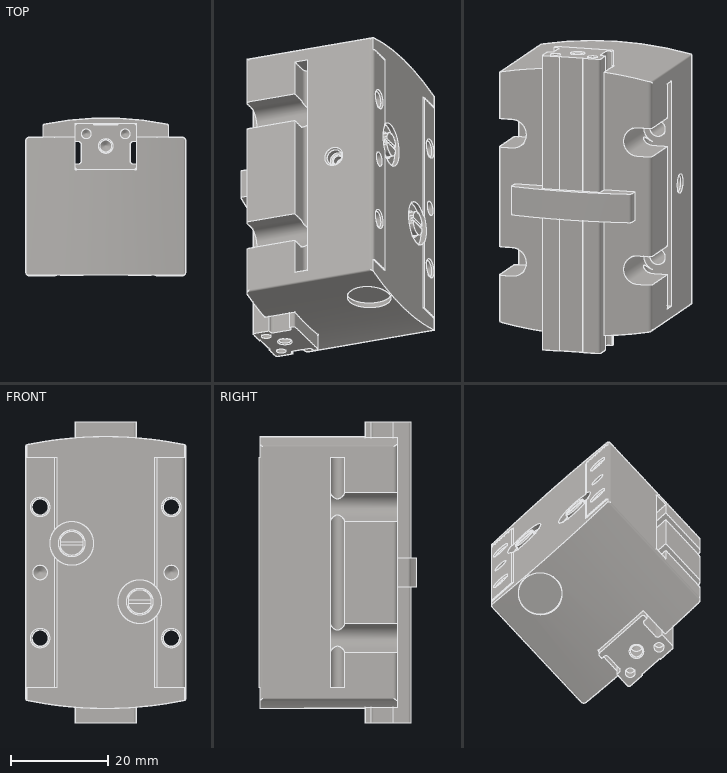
import cadquery as cq
import math


DIR_X = cq.Vector(1, 0, 0)
DIR_Y = cq.Vector(0, 1, 0)
DIR_Z = cq.Vector(0, 0, 1)

housing_width = 33.0
housing_height = 56.0
housing_back_y = 28.6
end_radius = 80.0
long_edge_fillet = 0.85
end_edge_fillet = 0.5
half_width = housing_width / 2
half_height = housing_height / 2
end_drop = end_radius - math.sqrt(end_radius**2 - half_width**2)

pad_thickness = 0.2
pad_length = 47.4
pad_inner_x = 10.5
pad_slope_run = 0.45

mount_x = 13.5
mount_z = 13.5
thread_core_diameter = 3.3
thread_mouth_diameter = 4.0
dowel_diameter = 3.0
dowel_depth = 4.0
drill_point_angle = 118.0

notch_width = 6.0
notch_start_y = 14.8
side_slot_width = 2.8
side_slot_depth = 5.5

screw_x = 7.0
screw_z = 6.0
recess_diameter = 9.0
recess_floor_y = 1.2
bottom_recess_x = -7.0
bottom_recess_y = 5.0
bottom_recess_depth = 1.1

screw_diameter = 5.5
screw_end_y = 7.0
head_top_y = 0.05
head_diameter = 4.9
head_step_y = 1.7
head_flat_width = 4.6
head_flat_end_y = 2.0
driver_slot_width = 0.65
driver_slot_depth = 0.5

port_y = 8.9
port_z = 0.9
port_mouth_diameter = 4.0
port_bore_diameter = 3.24
port_bore_depth = 2.0
port_drill_mouth_diameter = 2.4
port_drill_diameter = 2.0
port_drill_depth = 2.0

jaw_width = 12.6
jaw_front_y = 21.9
jaw_back_y = 31.35
jaw_tip_z = 31.0
jaw_edge_fillet = 0.5
jaw_slot_front_y = 23.05
jaw_slot_back_y = 27.65
jaw_slot_depth = 1.25
jaw_slot_fillet = 0.6
jaw_screw_hole_y = 26.75
jaw_screw_core_diameter = 2.46
jaw_screw_mouth_diameter = 3.0
jaw_screw_depth = 5.0
jaw_pin_x = 4.0
jaw_pin_y = 29.25
jaw_pin_diameter = 2.0
jaw_pin_depth = 4.0
jaw_back_relief_width = 5.0
jaw_back_relief_depth = 0.2

bridge_width = 25.9
bridge_height = 6.0
bridge_crest_y = 32.55
bridge_shoulder_y = 31.2
bridge_corner_fillet = 0.5


def box(x_range, y_range, z_range):
    """Axis-aligned block between the given limits."""
    size = [high - low for low, high in (x_range, y_range, z_range)]
    corner = (x_range[0], y_range[0], z_range[0])
    return cq.Workplane("XY").box(*size, centered=False).translate(corner)


def cylinder(diameter, start, direction, length):
    """Cylinder that starts at a point and runs along a direction."""
    return cq.Workplane(cq.Solid.makeCylinder(diameter / 2, length, start, direction))


def drilled_hole(diameter, start, direction, depth):
    """Blind hole volume with a conical drill point at its end."""
    radius = diameter / 2
    point_length = radius / math.tan(math.radians(drill_point_angle / 2))
    point = cq.Solid.makeCone(radius, 0, point_length, start + direction * depth, direction)
    return cylinder(diameter, start, direction, depth).union(cq.Workplane(point))


def countersink(mouth_diameter, hole_diameter, start, direction):
    """45 degree chamfer volume at the mouth of a hole."""
    depth = (mouth_diameter - hole_diameter) / 2
    return cq.Workplane(cq.Solid.makeCone(mouth_diameter / 2, hole_diameter / 2, depth, start, direction))


def make_block():
    """Block with bowed ends and rounded side edges, up to the pad plane."""
    corner_z = half_height - end_drop
    block = (
        cq.Workplane("XZ")
        .moveTo(-half_width, -corner_z)
        .threePointArc((0, -half_height), (half_width, -corner_z))
        .lineTo(half_width, corner_z)
        .threePointArc((0, half_height), (-half_width, corner_z))
        .close()
        .extrude(-housing_back_y)
    )
    block = block.edges("|Y").fillet(end_edge_fillet)
    rounded_bar = box(
        (-half_width, half_width),
        (0, housing_back_y),
        (-half_height, half_height),
    )
    rounded_bar = rounded_bar.edges("|Z").fillet(long_edge_fillet)
    return block.intersect(rounded_bar)


def front_relief():
    """Layer removed from the front face so that only the two pads stand proud."""
    relief = box((-half_width, half_width), (0, pad_thickness), (-half_height, half_height))
    for side in (-1, 1):
        pad = (
            cq.Workplane("XY")
            .polyline([
                (side * pad_inner_x, 0),
                (side * half_width, 0),
                (side * half_width, pad_thickness),
                (side * (pad_inner_x - pad_slope_run), pad_thickness),
            ])
            .close()
            .extrude(pad_length / 2, both=True)
        )
        relief = relief.cut(pad)
    return relief


def side_features(side):
    """Mounting holes, notches and joining slot on one side of the housing."""
    hole_x = side * mount_x
    outer_x = side * half_width
    cutter = drilled_hole(dowel_diameter, cq.Vector(hole_x, 0, 0), DIR_Y, dowel_depth)

    notch_length = housing_back_y - notch_start_y
    for z in (-mount_z, mount_z):
        mouth = cq.Vector(hole_x, 0, z)
        cutter = cutter.union(cylinder(thread_core_diameter, mouth, DIR_Y, notch_start_y))
        cutter = cutter.union(countersink(thread_mouth_diameter, thread_core_diameter, mouth, DIR_Y))
        notch_start = cq.Vector(hole_x, notch_start_y, z)
        cutter = cutter.union(cylinder(notch_width, notch_start, DIR_Y, notch_length))
        cutter = cutter.union(box(
            sorted((hole_x, outer_x)),
            (notch_start_y, housing_back_y),
            (z - notch_width / 2, z + notch_width / 2),
        ))

    slot_radius = side_slot_width / 2
    slot_center_x = side * (half_width - side_slot_depth + slot_radius)
    slot_floor_start = cq.Vector(slot_center_x, notch_start_y + slot_radius, -pad_length / 2)
    cutter = cutter.union(cylinder(side_slot_width, slot_floor_start, DIR_Z, pad_length))
    cutter = cutter.union(box(
        sorted((slot_center_x, outer_x)),
        (notch_start_y, notch_start_y + side_slot_width),
        (-pad_length / 2, pad_length / 2),
    ))
    return cutter


def port():
    """Stepped port bored into the -X side."""
    mouth = cq.Vector(-half_width, port_y, port_z)
    step = mouth + DIR_X * port_bore_depth
    cutter = cylinder(port_bore_diameter, mouth, DIR_X, port_bore_depth)
    cutter = cutter.union(countersink(port_mouth_diameter, port_bore_diameter, mouth, DIR_X))
    cutter = cutter.union(drilled_hole(port_drill_diameter, step, DIR_X, port_drill_depth))
    return cutter.union(countersink(port_drill_mouth_diameter, port_drill_diameter, step, DIR_X))


def screw_recess(x, z):
    """Round recess in the front face with the screw's bore below it."""
    recess = cylinder(recess_diameter, cq.Vector(x, 0, z), DIR_Y, recess_floor_y)
    return recess.union(cylinder(screw_diameter, cq.Vector(x, 0, z), DIR_Y, screw_end_y))


def make_housing():
    housing = make_block().cut(front_relief())
    groove = box(
        (-jaw_width / 2, jaw_width / 2),
        (jaw_front_y, housing_back_y),
        (-half_height, half_height),
    )
    housing = housing.cut(groove)
    for side in (-1, 1):
        housing = housing.cut(side_features(side))
    for x, z in screw_places:
        housing = housing.cut(screw_recess(x, z))
    bottom_start = cq.Vector(bottom_recess_x, bottom_recess_y, -half_height)
    housing = housing.cut(cylinder(recess_diameter, bottom_start, DIR_Z, bottom_recess_depth))
    return housing.cut(port())


def make_jaw(end):
    """Jaw that reaches from Z = 0 to its tip beyond the +Z (end = 1) or -Z (end = -1) end."""
    half_jaw = jaw_width / 2
    tip_z = end * jaw_tip_z
    z_range = sorted((0, tip_z))
    jaw = box((-half_jaw, half_jaw), (jaw_front_y, jaw_back_y), z_range)
    jaw = jaw.edges("|Z").fillet(jaw_edge_fillet)

    for side in (-1, 1):
        slot = box(
            sorted((side * (half_jaw - jaw_slot_depth), side * half_jaw)),
            (jaw_slot_front_y, jaw_slot_back_y),
            z_range,
        )
        inner_side = "<X" if side > 0 else ">X"
        jaw = jaw.cut(slot.faces(inner_side).edges("|Z").fillet(jaw_slot_fillet))

    half_relief = jaw_back_relief_width / 2
    jaw = jaw.cut(box((-half_relief, half_relief), (jaw_back_y - jaw_back_relief_depth, jaw_back_y), z_range))

    inward = DIR_Z * -end
    screw_mouth = cq.Vector(0, jaw_screw_hole_y, tip_z)
    jaw = jaw.cut(drilled_hole(jaw_screw_core_diameter, screw_mouth, inward, jaw_screw_depth))
    jaw = jaw.cut(countersink(jaw_screw_mouth_diameter, jaw_screw_core_diameter, screw_mouth, inward))
    for x in (-jaw_pin_x, jaw_pin_x):
        pin_mouth = cq.Vector(x, jaw_pin_y, tip_z)
        jaw = jaw.cut(drilled_hole(jaw_pin_diameter, pin_mouth, inward, jaw_pin_depth))
    return jaw


def make_bridge():
    """Crowned strap on the housing's back, with a channel that the jaws pass through."""
    half_bridge = bridge_width / 2
    bridge = (
        cq.Workplane("XY")
        .moveTo(-half_bridge, housing_back_y)
        .lineTo(half_bridge, housing_back_y)
        .lineTo(half_bridge, bridge_shoulder_y)
        .threePointArc((0, bridge_crest_y), (-half_bridge, bridge_shoulder_y))
        .close()
        .extrude(bridge_height / 2, both=True)
    )
    bridge = bridge.faces("<X or >X").edges("|Z").edges(">Y").fillet(bridge_corner_fillet)
    channel = box(
        (-jaw_width / 2, jaw_width / 2),
        (housing_back_y, jaw_back_y),
        (-bridge_height / 2, bridge_height / 2),
    )
    return bridge.cut(channel)


def make_screw(x, z):
    """Screw whose narrower head rises out of its bore, with two flats and a slot."""
    radius = screw_diameter / 2
    head_length = head_step_y - head_top_y
    screw = cylinder(screw_diameter, cq.Vector(x, head_step_y, z), DIR_Y, screw_end_y - head_step_y)
    screw = screw.union(cylinder(head_diameter, cq.Vector(x, head_top_y, z), DIR_Y, head_length))
    z_range = (z - radius, z + radius)
    half_flat = head_flat_width / 2
    for x_range in ((x - radius, x - half_flat), (x + half_flat, x + radius)):
        screw = screw.cut(box(x_range, (head_top_y, head_flat_end_y), z_range))
    driver_slot = box(
        (x - radius, x + radius),
        (head_top_y, head_top_y + driver_slot_depth),
        (z - driver_slot_width / 2, z + driver_slot_width / 2),
    )
    return screw.cut(driver_slot)


screw_places = [(-screw_x, screw_z), (screw_x, -screw_z)]

housing = make_housing()
jaws = [make_jaw(end) for end in (-1, 1)]
bridge = make_bridge()
screws = [make_screw(x, z) for x, z in screw_places]

result = cq.Compound.makeCompound(
    [housing.val(), *[jaw.val() for jaw in jaws], bridge.val(), *[screw.val() for screw in screws]]
)